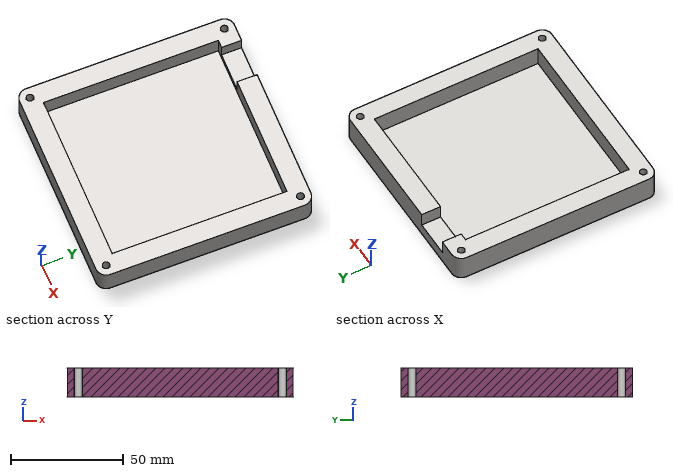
import cadquery as cq

length_x = 101.0
length_y = 103.3
height = 13.0
corner_radius = 5.0

pocket_x = 82.1
pocket_y = 84.0
pocket_depth = 10.0

notch_start = 13.3
notch_width = 18.6
notch_depth = 7.0

hole_diameter = 3.4

wall_y = (length_y - pocket_y) / 2


def make_body():
    body = cq.Workplane("XY").box(length_x, length_y, height, centered=(True, True, False))
    return body.edges("|Z").fillet(corner_radius)


def make_pocket():
    pocket = cq.Workplane("XY").box(pocket_x, pocket_y, pocket_depth, centered=(True, True, False))
    return pocket.translate((0, 0, height - pocket_depth))


def make_notch():
    notch = cq.Workplane("XY").box(notch_width, wall_y, notch_depth, centered=False)
    return notch.translate((notch_start - length_x / 2, pocket_y / 2, height - notch_depth))


def make_screw_holes():
    spacing_x = length_x - 2 * corner_radius
    spacing_y = length_y - 2 * corner_radius
    return (
        cq.Workplane("XY")
        .rarray(spacing_x, spacing_y, 2, 2)
        .circle(hole_diameter / 2)
        .extrude(height)
    )


result = make_body().cut(make_pocket()).cut(make_notch()).cut(make_screw_holes())